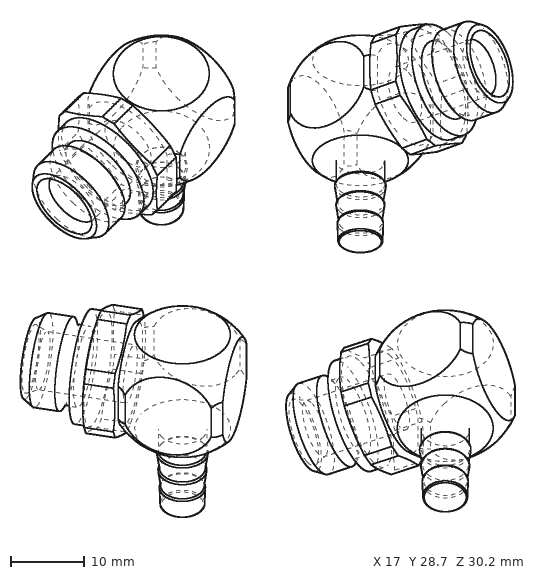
import cadquery as cq
import math


overall_height = 30.25

block_width = 16.0
block_length = 14.7
flat_circle_diameter = 13.05
edge_chamfer = 1.3

nut_across_flats = 17.0
nut_across_corners = 18.45
nut_thickness = 4.55
nut_chamfer_depth = 0.2
nut_face_diameter = 16.9

collar_diameter = 15.9
collar_length = 2.03
neck_diameter = 11.2
neck_length = 1.85
thread_diameter = 13.05
thread_lead_in = 0.5
thread_length = 3.57
tip_diameter = neck_diameter
tip_length = 1.5

bore_diameter = 8.0
bore_mouth_diameter = 9.5
countersink_depth = 1.72

shank_diameter = 6.6
barb_bottom = nut_across_corners / 2 - overall_height
shank_end = -11.8
barb_pitch = 3.0
barb_step = 0.3
barb_crest_diameters = [7.02, 6.65, 6.3]
barb_root_diameters = [6.23, 5.93]
barb_tip_diameter = 6.1
barb_tip_chamfer = 0.18

root_fillet = 0.2

nut_back = -block_length / 2
nut_front = nut_back - nut_thickness
collar_front = nut_front - collar_length
neck_front = collar_front - neck_length
thread_back = neck_front - thread_lead_in
thread_front = thread_back - thread_length
stub_front = thread_front - tip_length


def revolve_about_y(profile):
    """Turn a closed (radius, y) outline about the Y axis."""
    return cq.Workplane("XY").polyline(profile).close().revolve(360, (0, 0, 0), (0, 1, 0))


def make_block():
    """Box with chamfered upright edges, rounded by a sphere that leaves circular flats."""
    sphere_radius = math.hypot(block_width / 2, flat_circle_diameter / 2)
    box = cq.Workplane("XY").box(block_width, block_length, block_width)
    return box.edges("|Z").chamfer(edge_chamfer).intersect(cq.Workplane("XY").sphere(sphere_radius))


def make_hexagon(across_flats, rotation):
    """Hexagonal prism along Y over the length of the nut."""
    corner_diameter = across_flats / math.cos(math.pi / 6)
    prism = cq.Workplane("XZ", origin=(0, nut_back, 0)).polygon(6, corner_diameter).extrude(nut_thickness)
    return prism.rotate((0, 0, 0), (0, 1, 0), rotation)


def make_nut():
    """Hexagon with flattened corners and a conical chamfer on both ends."""
    sharp_corner_radius = nut_across_flats / 2 / math.cos(math.pi / 6)
    corner_flat_half_width = (sharp_corner_radius - nut_across_corners / 2) * math.tan(math.pi / 3)
    outer_radius = math.hypot(nut_across_corners / 2, corner_flat_half_width)
    face_radius = nut_face_diameter / 2
    envelope = revolve_about_y([
        (0, nut_back),
        (face_radius, nut_back),
        (outer_radius, nut_back - nut_chamfer_depth),
        (outer_radius, nut_front + nut_chamfer_depth),
        (face_radius, nut_front),
        (0, nut_front),
    ])
    flats = make_hexagon(nut_across_flats, 30)
    corners = make_hexagon(nut_across_corners, 0)
    return flats.intersect(corners).intersect(envelope)


def make_stub():
    """Sealing collar, undercut neck and thread body with a tapered tip."""
    return revolve_about_y([
        (0, nut_front),
        (collar_diameter / 2, nut_front),
        (collar_diameter / 2, collar_front),
        (neck_diameter / 2, collar_front),
        (neck_diameter / 2, neck_front),
        (thread_diameter / 2, thread_back),
        (thread_diameter / 2, thread_front),
        (tip_diameter / 2, stub_front),
        (0, stub_front),
    ])


def make_bore():
    """Blind bore with a conical mouth."""
    return revolve_about_y([
        (0, stub_front),
        (bore_mouth_diameter / 2, stub_front),
        (bore_diameter / 2, stub_front + countersink_depth),
        (bore_diameter / 2, nut_back),
        (0, nut_back),
    ])


def make_barb():
    """Plain shank followed by three tapering barbs."""
    profile = [(0, 0), (shank_diameter / 2, 0), (shank_diameter / 2, shank_end)]
    for index, crest in enumerate(barb_crest_diameters):
        barb_top = shank_end - index * barb_pitch
        profile.append((crest / 2, barb_top - barb_step))
        if index < len(barb_root_diameters):
            profile.append((barb_root_diameters[index] / 2, barb_top - barb_pitch))
    profile.append((barb_tip_diameter / 2, barb_bottom + barb_tip_chamfer))
    profile.append((barb_tip_diameter / 2 - barb_tip_chamfer, barb_bottom))
    profile.append((0, barb_bottom))
    return cq.Workplane("XZ").polyline(profile).close().revolve(360, (0, 0, 0), (0, 1, 0))


body = make_block().union(make_nut()).union(make_stub()).union(make_barb())
body = body.edges(cq.NearestToPointSelector((0, 0, -block_width / 2))).fillet(root_fillet)
body = body.edges(cq.NearestToPointSelector((0, neck_front, 0))).fillet(root_fillet)

result = body.cut(make_bore())